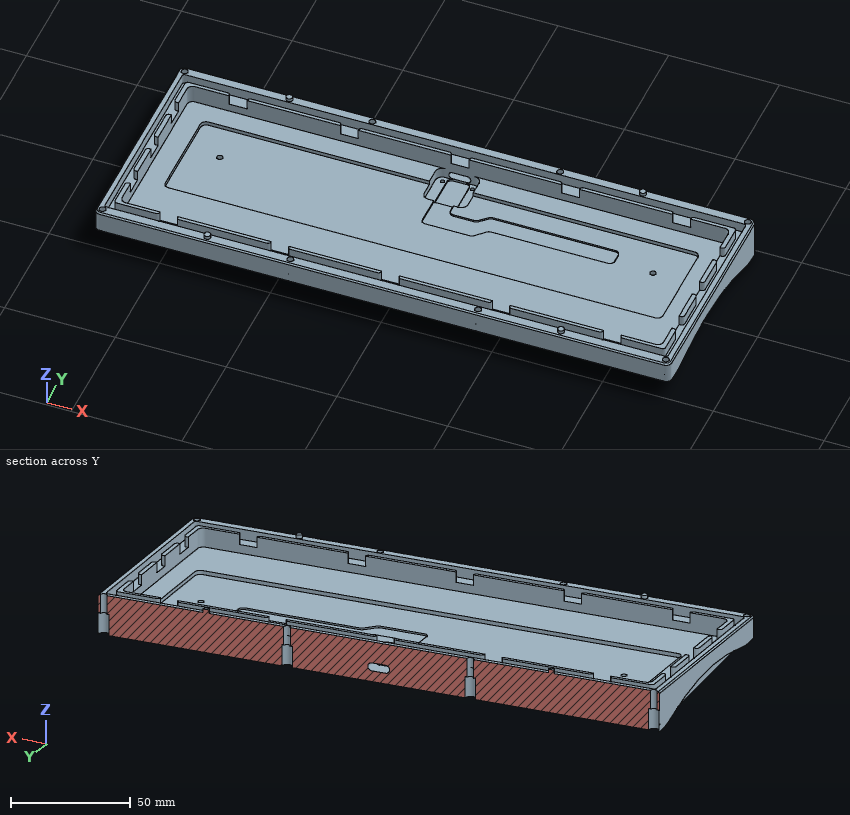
import cadquery as cq
import math

LENGTH = 260.0
WIDTH = 98.5
RIM_Z = 18.5
TOTAL_HEIGHT = 20.0
UNDERSIDE_ANGLE = 5.0
CORNER_RADIUS = 2.5
RIM_CHAMFER = 0.65

REAR = WIDTH / 2
FRONT = -WIDTH / 2
UNDERSIDE_RISE = WIDTH * math.tan(math.radians(UNDERSIDE_ANGLE))

LEDGE_MARGIN_X = 2.9
LEDGE_MARGIN_Y = 4.7
LEDGE_Z = 13.8
LEDGE_RADIUS = 1.0
RIB_MARGIN_X = 5.7
RIB_MARGIN_Y = 8.5
RIB_HEIGHT = RIM_Z - LEDGE_Z
RIB_RADIUS = 1.3
RIB_GAP = 8.0
RIB_GAP_X = (-100.0, -50.0, 0.0, 50.0, 100.0)
RIB_GAP_Y = (-23.1, 0.0, 23.1)

CAVITY_MARGIN_X = 7.8
CAVITY_MARGIN_Y = 10.1
CAVITY_RADIUS = 2.5
FLOOR_Z = 10.0
RECESS_LENGTH = 224.6
RECESS_REAR = REAR - 19.8
RECESS_FRONT = REAR - 64.2
RECESS_RADIUS = 2.5
RECESS_DEPTH = 1.8
RECESS_Z = FLOOR_Z - RECESS_DEPTH
RECESS_HOLE_DIAMETER = 2.5
RECESS_HOLE_X = 97.8
RECESS_HOLE_Y = REAR - 36.7
RECESS_HOLE_DEPTH = 2.5

BOARD_WIDTH = 19.8
BOARD_FRONT = REAR - 28.5
BOARD_RADIUS = 3.0
BOARD_DEPTH = 5.0
BOARD_Z = FLOOR_Z - BOARD_DEPTH
SLOT_WIDTH = 10.1
SLOT_DEPTH = 0.8
SLOT_RADIUS = 2.0
BOARD_HOLE_DIAMETER = 1.6
BOARD_HOLE_X = 6.8
BOARD_HOLE_Y = REAR - 12.7
BOARD_HOLE_DEPTH = 2.0

PORT_WIDTH = 10.0
PORT_HEIGHT = 3.5
PORT_Z = 7.0

CHANNEL_DEPTH = 0.8
CHANNEL_RADIUS = 2.0
CHANNEL_OVERLAP = 2.5
CHANNEL_LEFT = -4.5
CHANNEL_RIGHT = 4.5
CHANNEL_END = 80.0
CHANNEL_NEAR_REAR = REAR - 33.8
CHANNEL_NEAR_FRONT = REAR - 43.5
CHANNEL_FAR_REAR = REAR - 29.5
CHANNEL_FAR_FRONT = REAR - 38.0
CHANNEL_BEND_REAR_X = (17.0, 21.5)
CHANNEL_BEND_FRONT_X = (18.7, 24.2)

FASTENER_MARGIN = 2.9
FASTENER_Y = REAR - FASTENER_MARGIN
SCREW_X = (FASTENER_MARGIN - LENGTH / 2, -42.5, 42.5, LENGTH / 2 - FASTENER_MARGIN)
SCREW_DIAMETER = 2.9
SCREW_HEAD_DIAMETER = 4.7
SCREW_HEAD_TOP_FRONT = 12.2
SCREW_HEAD_TOP_REAR = 10.0
PIN_X = 79.8
PIN_DIAMETER = 2.9

RELIEF_DEPTH = 2.9
RELIEF_HALF_SPAN = 39.0
RELIEF_RISE = 6.5
RELIEF_BLEND = 31.2


def rounded_block(length, y_front, y_rear, z_bottom, z_top, radius):
    """Block centred on X with rounded vertical edges."""
    return (
        cq.Workplane("XY", origin=(0, (y_front + y_rear) / 2, z_bottom))
        .rect(length, y_rear - y_front)
        .extrude(z_top - z_bottom)
        .edges("|Z")
        .fillet(radius)
    )


def inset_block(margin_x, margin_y, z_bottom, z_top, radius):
    """Rounded block inset from the outside of the tray by the given margins."""
    return rounded_block(
        LENGTH - 2 * margin_x, FRONT + margin_y, REAR - margin_y, z_bottom, z_top, radius
    )


def below_underside():
    return (
        cq.Workplane("YZ", origin=(-LENGTH / 2, 0, 0))
        .polyline([(REAR, 0), (FRONT, UNDERSIDE_RISE), (FRONT, 0)])
        .close()
        .extrude(LENGTH)
    )


def wedge():
    block = inset_block(0, 0, 0, RIM_Z, CORNER_RADIUS).faces(">Z").edges().chamfer(RIM_CHAMFER)
    return block.cut(below_underside())


def ribs():
    """Blocks whose outer edges form the ribs; the cavity later removes their middle."""
    blocks = (
        cq.Workplane("XY", origin=(0, 0, LEDGE_Z))
        .rect(LENGTH - 2 * RIB_MARGIN_X, WIDTH - 2 * RIB_MARGIN_Y)
        .extrude(RIB_HEIGHT)
    )
    gaps = cq.Workplane("XY", origin=(0, 0, LEDGE_Z))
    for x in RIB_GAP_X:
        blocks = blocks.cut(gaps.center(x, 0).rect(RIB_GAP, WIDTH).extrude(RIB_HEIGHT))
    for y in RIB_GAP_Y:
        blocks = blocks.cut(gaps.center(0, y).rect(LENGTH, RIB_GAP).extrude(RIB_HEIGHT))
    return blocks.edges("|Z").fillet(RIB_RADIUS)


def cable_channel():
    outline = [
        (CHANNEL_LEFT, BOARD_FRONT + CHANNEL_OVERLAP),
        (CHANNEL_LEFT, CHANNEL_NEAR_FRONT),
        (CHANNEL_BEND_FRONT_X[0], CHANNEL_NEAR_FRONT),
        (CHANNEL_BEND_FRONT_X[1], CHANNEL_FAR_FRONT),
        (CHANNEL_END, CHANNEL_FAR_FRONT),
        (CHANNEL_END, CHANNEL_FAR_REAR),
        (CHANNEL_BEND_REAR_X[1], CHANNEL_FAR_REAR),
        (CHANNEL_BEND_REAR_X[0], CHANNEL_NEAR_REAR),
        (CHANNEL_RIGHT, CHANNEL_NEAR_REAR),
        (CHANNEL_RIGHT, BOARD_FRONT + CHANNEL_OVERLAP),
    ]
    return (
        cq.Workplane("XY", origin=(0, 0, RECESS_Z - CHANNEL_DEPTH))
        .polyline(outline)
        .close()
        .extrude(FLOOR_Z - RECESS_Z + CHANNEL_DEPTH)
        .edges("|Z")
        .fillet(CHANNEL_RADIUS)
    )


def board_pocket():
    cavity_rear = REAR - CAVITY_MARGIN_Y
    pocket = rounded_block(BOARD_WIDTH, BOARD_FRONT, cavity_rear, BOARD_Z, FLOOR_Z, BOARD_RADIUS)
    slot = rounded_block(SLOT_WIDTH, BOARD_FRONT, cavity_rear, BOARD_Z - SLOT_DEPTH, BOARD_Z, SLOT_RADIUS)
    holes = (
        cq.Workplane("XY", origin=(0, BOARD_HOLE_Y, BOARD_Z))
        .pushPoints([(-BOARD_HOLE_X, 0), (BOARD_HOLE_X, 0)])
        .circle(BOARD_HOLE_DIAMETER / 2)
        .extrude(-BOARD_HOLE_DEPTH)
    )
    return pocket.union(slot).union(holes)


def connector_port():
    wall = cq.Workplane("XZ", origin=(0, REAR, PORT_Z))
    return wall.slot2D(PORT_WIDTH, PORT_HEIGHT).extrude(CAVITY_MARGIN_Y)


def cavity():
    hollow = inset_block(CAVITY_MARGIN_X, CAVITY_MARGIN_Y, FLOOR_Z, RIM_Z, CAVITY_RADIUS)
    recess = rounded_block(RECESS_LENGTH, RECESS_FRONT, RECESS_REAR, RECESS_Z, FLOOR_Z, RECESS_RADIUS)
    holes = (
        cq.Workplane("XY", origin=(0, RECESS_HOLE_Y, RECESS_Z))
        .pushPoints([(-RECESS_HOLE_X, 0), (RECESS_HOLE_X, 0)])
        .circle(RECESS_HOLE_DIAMETER / 2)
        .extrude(-RECESS_HOLE_DEPTH)
    )
    return hollow.union(recess).union(holes).union(cable_channel()).union(board_pocket())


def screw_holes():
    holes = cq.Workplane("XY")
    for y, head_top in ((-FASTENER_Y, SCREW_HEAD_TOP_FRONT), (FASTENER_Y, SCREW_HEAD_TOP_REAR)):
        points = [(x, y) for x in SCREW_X]
        holes = holes.union(
            cq.Workplane("XY").pushPoints(points).circle(SCREW_DIAMETER / 2).extrude(RIM_Z)
        )
        holes = holes.union(
            cq.Workplane("XY").pushPoints(points).circle(SCREW_HEAD_DIAMETER / 2).extrude(head_top)
        )
    return holes


def pins():
    return (
        cq.Workplane("XY", origin=(0, 0, RIM_Z))
        .rect(2 * PIN_X, 2 * FASTENER_Y, forConstruction=True)
        .vertices()
        .circle(PIN_DIAMETER / 2)
        .extrude(TOTAL_HEIGHT - RIM_Z)
    )


def end_relief(side):
    """Arch cutter for one end face, drawn along the sloping underside."""
    span = WIDTH / 2
    reach = (span + RELIEF_HALF_SPAN) / 2
    arch_ends = cq.selectors.BoxSelector((-LENGTH, -reach, 0), (LENGTH, reach, RIM_Z))
    slope_plane = cq.Plane(
        origin=(side * LENGTH / 2, 0, UNDERSIDE_RISE / 2),
        xDir=(0, math.cos(math.radians(UNDERSIDE_ANGLE)), -math.sin(math.radians(UNDERSIDE_ANGLE))),
        normal=(1, 0, 0),
    )
    return (
        cq.Workplane(slope_plane)
        .moveTo(-span, 0)
        .lineTo(-RELIEF_HALF_SPAN, 0)
        .threePointArc((0, RELIEF_RISE), (RELIEF_HALF_SPAN, 0))
        .lineTo(span, 0)
        .lineTo(span, -RELIEF_RISE)
        .lineTo(-span, -RELIEF_RISE)
        .close()
        .extrude(-side * RELIEF_DEPTH)
        .edges(arch_ends)
        .edges("|X")
        .fillet(RELIEF_BLEND)
    )


result = wedge()
result = result.cut(inset_block(LEDGE_MARGIN_X, LEDGE_MARGIN_Y, LEDGE_Z, RIM_Z, LEDGE_RADIUS))
result = result.union(ribs()).cut(cavity()).cut(connector_port()).cut(screw_holes()).union(pins())
for side in (-1, 1):
    result = result.cut(end_relief(side))